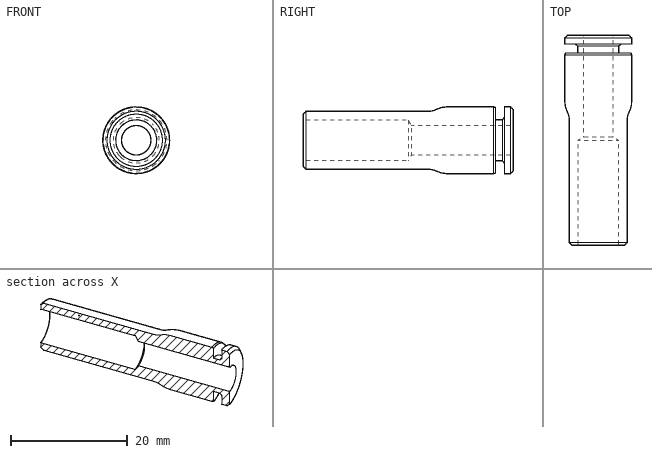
import cadquery as cq

LENGTH = 36.1
HEAD_DIAMETER = 11.5
TUBE_DIAMETER = 10.0
TUBE_CHAMFER = 0.5

TRANSITION_START = 21.5
TRANSITION_MIDDLE = 22.92
TRANSITION_END = 24.65

DISC_THICKNESS = 1.55
DISC_CHAMFER = 0.5
NECK_GAP = 1.5
NECK_DIAMETER = 7.1
FLARE_DIAMETER = 7.87
FLARE_HEIGHT = 0.32
HEAD_CHAMFER_LENGTH = 0.32
HEAD_CHAMFER_DEPTH = 0.1

WIDE_BORE_DIAMETER = 7.0
BORE_DIAMETER = 5.0
WIDE_BORE_DEPTH = 18.05
BORE_CONE_LENGTH = 0.58

tube_radius = TUBE_DIAMETER / 2
head_radius = HEAD_DIAMETER / 2
neck_radius = NECK_DIAMETER / 2
disc_start = LENGTH - DISC_THICKNESS
head_end = disc_start - NECK_GAP

middle_fraction = (TRANSITION_MIDDLE - TRANSITION_START) / (TRANSITION_END - TRANSITION_START)
middle_radius = tube_radius + middle_fraction * (head_radius - tube_radius)


def revolve_about_y(profile):
    """Close a half profile in the XY plane and revolve it about the Y axis."""
    return profile.close().revolve(360, (0, 0, 0), (0, 1, 0))


def make_body():
    """Tube, flowing into the head with two tangent arcs, then neck and disc."""
    profile = (
        cq.Workplane("XY")
        .lineTo(tube_radius - TUBE_CHAMFER, 0)
        .lineTo(tube_radius, TUBE_CHAMFER)
        .lineTo(tube_radius, TRANSITION_START)
        .tangentArcPoint((middle_radius, TRANSITION_MIDDLE), relative=False)
        .tangentArcPoint((head_radius, TRANSITION_END), relative=False)
        .lineTo(head_radius, head_end - HEAD_CHAMFER_LENGTH)
        .lineTo(head_radius - HEAD_CHAMFER_DEPTH, head_end)
        .lineTo(neck_radius, head_end)
        .lineTo(neck_radius, disc_start - FLARE_HEIGHT)
        .lineTo(FLARE_DIAMETER / 2, disc_start)
        .lineTo(head_radius, disc_start)
        .lineTo(head_radius, LENGTH - DISC_CHAMFER)
        .lineTo(head_radius - DISC_CHAMFER, LENGTH)
        .lineTo(0, LENGTH)
    )
    return revolve_about_y(profile)


def make_bore():
    """Wide bore from the tube end, narrowing through a cone to the through hole."""
    profile = (
        cq.Workplane("XY")
        .lineTo(WIDE_BORE_DIAMETER / 2, 0)
        .lineTo(WIDE_BORE_DIAMETER / 2, WIDE_BORE_DEPTH)
        .lineTo(BORE_DIAMETER / 2, WIDE_BORE_DEPTH + BORE_CONE_LENGTH)
        .lineTo(BORE_DIAMETER / 2, LENGTH)
        .lineTo(0, LENGTH)
    )
    return revolve_about_y(profile)


result = make_body().cut(make_bore()).translate((0, -LENGTH / 2, 0))